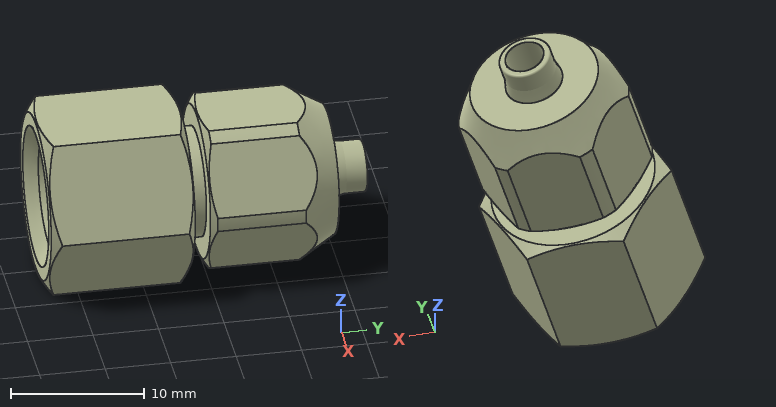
import cadquery as cq
import math

total_length = 25.0
through_diameter = 3.0

body_flats = 13.0
body_length = 11.0
body_face_diameter = 12.75
hex_chamfer_angle = 30.0

neck_diameter = 8.4
neck_foot_diameter = 8.7
neck_foot_length = 0.32

nut_start = 12.25
nut_end = 22.25
nut_flats = 12.0
nut_diameter = 13.25
nut_face_diameter = 11.75
nut_nose_diameter = 10.0
nut_nose_angle = 60.0

tip_diameter = 4.0
tip_root_diameter = 4.45
tip_straight_start = 23.38
tip_edge_radius = 0.18

mouth_diameter = 10.7
mouth_depth = 1.0
socket_diameter = 8.7
socket_depth = 9.0
inner_diameter = 6.0
inner_depth = 15.0
socket_cone_angle = 25.0
inner_cone_angle = 30.0


def cone_length(large_diameter, small_diameter, angle):
    return (large_diameter - small_diameter) / 2 * math.tan(math.radians(angle))


def revolve_profile(stations):
    """Solid of revolution about Y through (diameter, y) stations."""
    outline = [(0, stations[0][1])]
    outline += [(diameter / 2, y) for diameter, y in stations]
    outline.append((0, stations[-1][1]))
    return cq.Workplane("XY").polyline(outline).close().revolve(360, (0, 0), (0, 1))


def hex_bar(flats, start, end):
    """Hexagonal bar along Y with two flats facing +Z and -Z."""
    corners = flats / math.cos(math.radians(30))
    return cq.Workplane("XZ", origin=(0, start, 0)).polygon(6, corners).extrude(start - end)


def make_body():
    corners = body_flats / math.cos(math.radians(30))
    chamfer = cone_length(corners, body_face_diameter, hex_chamfer_angle)
    envelope = revolve_profile([
        (body_face_diameter, 0),
        (corners, chamfer),
        (corners, body_length - chamfer),
        (body_face_diameter, body_length),
    ])
    return hex_bar(body_flats, 0, body_length).intersect(envelope)


def make_nut():
    chamfer = cone_length(nut_diameter, nut_face_diameter, hex_chamfer_angle)
    nose = cone_length(nut_diameter, nut_nose_diameter, nut_nose_angle)
    envelope = revolve_profile([
        (nut_face_diameter, nut_start),
        (nut_diameter, nut_start + chamfer),
        (nut_diameter, nut_end - nose),
        (nut_nose_diameter, nut_end),
    ])
    return hex_bar(nut_flats, nut_start, nut_end).intersect(envelope)


def make_neck():
    return revolve_profile([
        (neck_foot_diameter, body_length),
        (neck_diameter, body_length + neck_foot_length),
        (neck_diameter, nut_start),
    ])


def make_tip():
    return revolve_profile([
        (tip_root_diameter, nut_end),
        (tip_diameter, tip_straight_start),
        (tip_diameter, total_length),
    ]).faces(">Y").edges().fillet(tip_edge_radius)


def make_bore():
    socket_cone = cone_length(socket_diameter, inner_diameter, socket_cone_angle)
    inner_cone = cone_length(inner_diameter, through_diameter, inner_cone_angle)
    return revolve_profile([
        (mouth_diameter, 0),
        (socket_diameter, mouth_depth),
        (socket_diameter, socket_depth),
        (inner_diameter, socket_depth + socket_cone),
        (inner_diameter, inner_depth),
        (through_diameter, inner_depth + inner_cone),
        (through_diameter, total_length),
    ])


solid = make_body().union(make_neck()).union(make_nut()).union(make_tip())
result = solid.cut(make_bore())